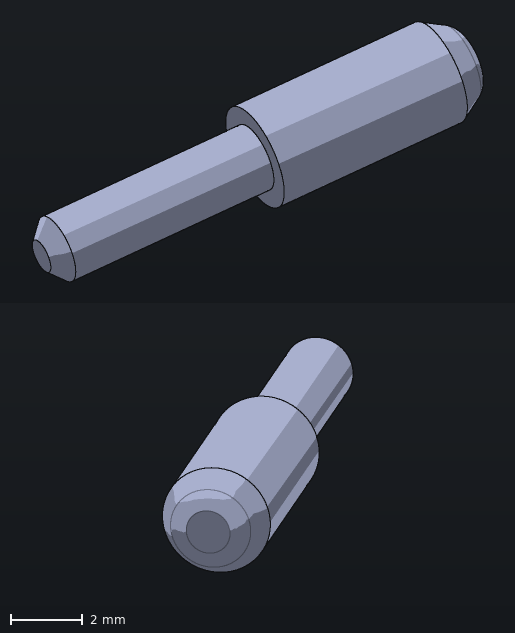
import cadquery as cq
import math

total_length = 14
head_length = total_length / 2
head_radius = 3.1 / 2
pin_radius = 2.0 / 2
pin_chamfer = 0.5

nose_length = 1.0
nose_half_angle = 30
nose_rounding = 0.6

front_y = -total_length / 2
back_y = total_length / 2
shoulder_y = back_y - head_length
nose_base_y = back_y - nose_length
nose_tip_radius = head_radius - nose_length * math.tan(math.radians(nose_half_angle))

profile = (
    cq.Workplane("XY")
    .moveTo(0, front_y)
    .lineTo(pin_radius - pin_chamfer, front_y)
    .lineTo(pin_radius, front_y + pin_chamfer)
    .lineTo(pin_radius, shoulder_y)
    .lineTo(head_radius, shoulder_y)
    .lineTo(head_radius, nose_base_y)
    .lineTo(nose_tip_radius, back_y)
    .lineTo(0, back_y)
    .close()
)
pin = profile.revolve(360, (0, 0, 0), (0, 1, 0))

result = pin.faces(">Y").edges().fillet(nose_rounding)